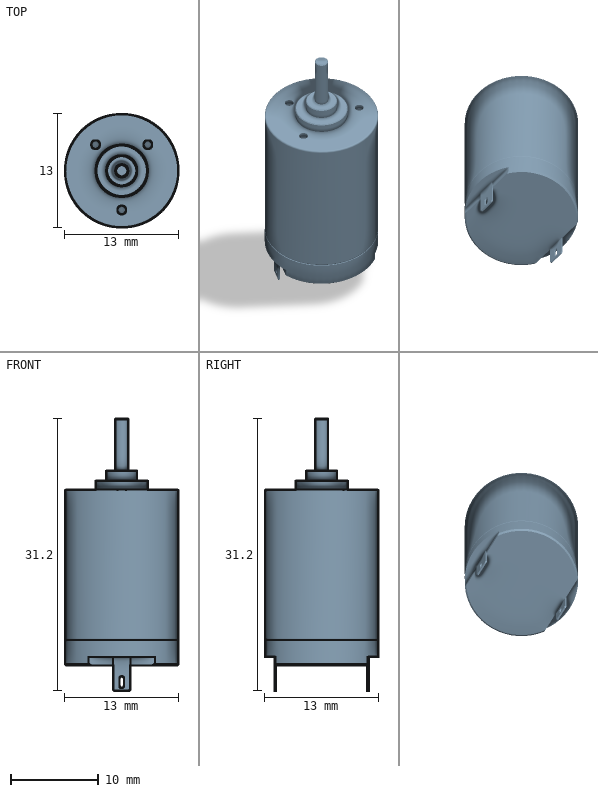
import cadquery as cq

CAP_BOTTOM_Z = 2.9
FLAT_TOP_Z = 3.9
CAP_TOP_Z = 5.8
CAN_TOP_Z = 23.05
BOSS_TOP_Z = 24.12
BEARING_TOP_Z = 25.27
SHAFT_TOP_Z = 31.2

BODY_DIAMETER = 13.0
BOSS_DIAMETER = 6.0
BEARING_DIAMETER = 3.55
SHAFT_DIAMETER = 1.5

BODY_EDGE = 0.2
SMALL_EDGE = 0.1

HOLE_DIAMETER = 1.0
HOLE_DEPTH = 0.5
HOLE_POSITIONS = [(-3.0, 3.0), (3.0, 3.0), (0, -4.5)]

FLAT_OFFSET = 5.27
TERMINAL_OUTER_OFFSET = 5.4
TERMINAL_THICKNESS = 0.2
TERMINAL_WIDTH = 2.0
TERMINAL_CORNER = 0.15
SLOT_WIDTH = 0.5
SLOT_LENGTH = 1.3
SLOT_CENTER_Z = 1.0


def cylinder(diameter, bottom_z, top_z):
    """Upright cylinder on the motor axis."""
    return cq.Workplane("XY").workplane(offset=bottom_z).circle(diameter / 2).extrude(top_z - bottom_z)


def make_can():
    """Main housing with rounded rims and blind mounting holes."""
    can = cylinder(BODY_DIAMETER, CAP_TOP_Z, CAN_TOP_Z).edges("%CIRCLE").fillet(BODY_EDGE)
    holes = (
        cq.Workplane("XY")
        .workplane(offset=CAN_TOP_Z - HOLE_DEPTH)
        .pushPoints(HOLE_POSITIONS)
        .circle(HOLE_DIAMETER / 2)
        .extrude(HOLE_DEPTH)
    )
    return can.cut(holes)


def make_end_cap():
    """End cap with a chamfered lower rim and two opposite flats cut into it."""
    cap = cylinder(BODY_DIAMETER, CAP_BOTTOM_Z, CAP_TOP_Z).faces("<Z").edges().chamfer(BODY_EDGE)
    upper = cylinder(BODY_DIAMETER, FLAT_TOP_Z, CAP_TOP_Z)
    between_flats = cq.Workplane("XY").box(BODY_DIAMETER, 2 * FLAT_OFFSET, CAP_TOP_Z, centered=(True, True, False))
    return cap.intersect(between_flats).union(upper)


def make_terminal(side):
    """Slotted solder tab; side is -1 or +1 along Y."""
    center_y = side * (TERMINAL_OUTER_OFFSET - TERMINAL_THICKNESS / 2)
    tab = (
        cq.Workplane("XY")
        .box(TERMINAL_WIDTH, TERMINAL_THICKNESS, FLAT_TOP_Z + TERMINAL_THICKNESS, centered=(True, True, False))
        .faces("<Z")
        .edges("|Y")
        .chamfer(TERMINAL_CORNER)
    )
    slot = (
        cq.Workplane("XZ")
        .center(0, SLOT_CENTER_Z)
        .slot2D(SLOT_LENGTH, SLOT_WIDTH, 90)
        .extrude(TERMINAL_THICKNESS, both=True)
    )
    return tab.cut(slot).translate((0, center_y, 0))


result = make_end_cap().union(make_can())

for diameter, bottom_z, top_z in [
    (BOSS_DIAMETER, CAN_TOP_Z, BOSS_TOP_Z),
    (BEARING_DIAMETER, BOSS_TOP_Z, BEARING_TOP_Z),
    (SHAFT_DIAMETER, BEARING_TOP_Z, SHAFT_TOP_Z),
]:
    step = cylinder(diameter, bottom_z, top_z).faces(">Z").edges().chamfer(SMALL_EDGE)
    result = result.union(step)

for side in (-1, 1):
    result = result.union(make_terminal(side))